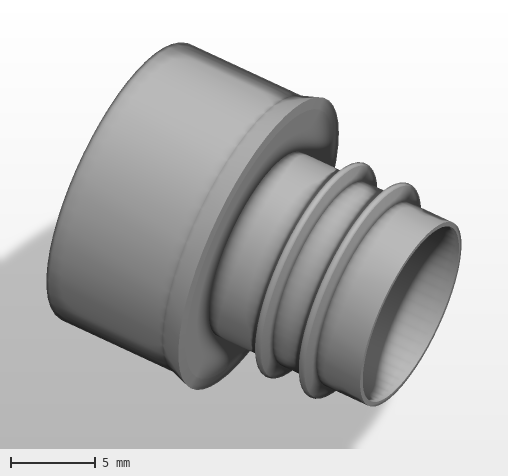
import cadquery as cq

total_length = 20.0
bore_radius = 11.4 / 2
neck_radius = 12.0 / 2
head_radius = 18.1 / 2
lip_radius = 19.0 / 2

head_length = 9.6
lip_start = 8.2
lip_end = 9.55
shoulder_radius = 17.5 / 2
edge_round = 0.5

ridge_radius = 14.0 / 2
ridge_base_width = 1.0
ridge_centers = (13.5, 16.5)
ridge_tip_width = 0.4
ridge_tip_rise = 0.1


def make_body():
    """Head, flared lip and neck as one revolved solid."""
    profile = (
        cq.Workplane("XY")
        .lineTo(0, head_radius)
        .lineTo(lip_start, head_radius)
        .lineTo(lip_end, lip_radius)
        .lineTo(head_length, shoulder_radius)
        .lineTo(head_length, neck_radius)
        .lineTo(total_length, neck_radius)
        .lineTo(total_length, 0)
        .close()
    )
    return profile.revolve(360, (0, 0, 0), (1, 0, 0))


def make_ridge(center):
    """Tapered ring with a rounded crest, reaching inward to the bore."""
    half_base = ridge_base_width / 2
    half_tip = ridge_tip_width / 2
    flank_top = ridge_radius - ridge_tip_rise
    profile = (
        cq.Workplane("XY")
        .moveTo(center - half_base, bore_radius)
        .lineTo(center - half_base, neck_radius)
        .lineTo(center - half_tip, flank_top)
        .threePointArc((center, ridge_radius), (center + half_tip, flank_top))
        .lineTo(center + half_base, neck_radius)
        .lineTo(center + half_base, bore_radius)
        .close()
    )
    return profile.revolve(360, (0, 0, 0), (1, 0, 0))


def make_bore():
    """Through hole along the axis."""
    return cq.Workplane("YZ").circle(bore_radius).extrude(total_length)


body = make_body()
for ridge_center in ridge_centers:
    body = body.union(make_ridge(ridge_center))
body = body.cut(make_bore())

result = body.faces("<X").edges().fillet(edge_round)